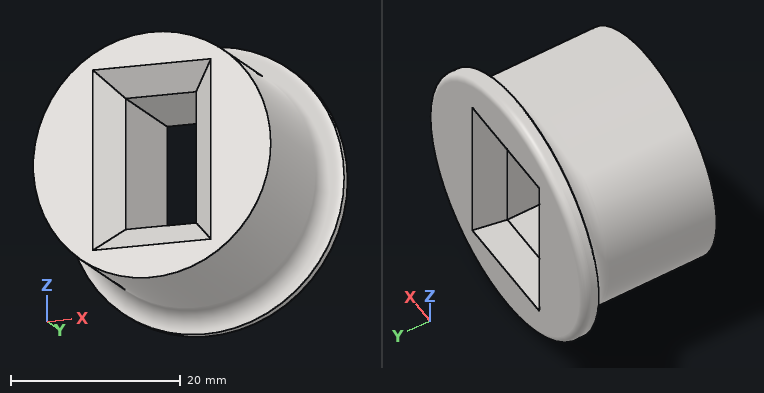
import cadquery as cq
import math

flange_diameter = 35
body_diameter = 30.0
length = 20.0
flange_thickness = 2.0
edge_round = 1.0
neck_radius = 3.0

opening_width = 8.9
opening_height = 16.0
mouth_bevel = 3.0


def make_body():
    """Revolve the half profile (radius, Y) about the Y axis."""
    flange_r = flange_diameter / 2
    body_r = body_diameter / 2
    neck_center_r = body_r + neck_radius
    neck_start_y = length - flange_thickness - neck_radius

    rim_angle = math.acos((neck_center_r - flange_r) / neck_radius)

    def neck_point(angle):
        return (
            neck_center_r - neck_radius * math.cos(angle),
            neck_start_y + neck_radius * math.sin(angle),
        )

    round_inset = edge_round * (1 - math.sqrt(0.5))
    profile = (
        cq.Workplane("XY")
        .lineTo(body_r, 0)
        .lineTo(body_r, neck_start_y)
        .threePointArc(neck_point(rim_angle / 2), neck_point(rim_angle))
        .lineTo(flange_r, length - edge_round)
        .threePointArc(
            (flange_r - round_inset, length - round_inset),
            (flange_r - edge_round, length),
        )
        .lineTo(0, length)
        .close()
    )
    return profile.revolve(360, (0, 0), (0, 1))


def make_mouth(face_y, inward):
    """Flared mouth at face_y; inward is the Y direction into the body."""
    return (
        cq.Workplane("XZ", origin=(0, face_y, 0))
        .rect(opening_width + 2 * mouth_bevel, opening_height + 2 * mouth_bevel)
        .workplane(offset=-inward * mouth_bevel)
        .rect(opening_width, opening_height)
        .loft()
    )


def make_opening():
    """Straight rectangular passage with a flared mouth at each end."""
    passage = cq.Workplane("XZ").rect(opening_width, opening_height).extrude(-length)
    return passage.union(make_mouth(0, 1)).union(make_mouth(length, -1))


result = make_body().cut(make_opening())